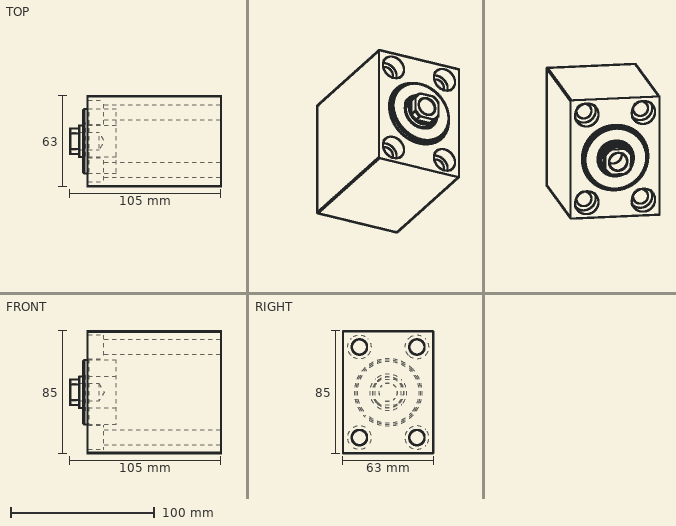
import cadquery as cq
import math


housing_length = 93.0
housing_width = 63.0
housing_height = 85.0
edge_chamfer = 0.5

screw_spacing_y = 40.0
screw_spacing_z = 63.0
screw_hole_diameter = 10.5
screw_head_diameter = 16.5
screw_head_depth = 11.0

gland_diameter = 45.0
gland_projection = 3.0
gland_seat_depth = 20.0
gland_chamfer = 1.0
bore_lead_in = 1.0

wiper_diameter = 25.5
wiper_depth = 1.5

rod_diameter = 22.0
rod_projection = 3.0
rod_chamfer = 0.4

square_length = 6.0
square_across_flats = 18.0
square_corner_diameter = 21.0
square_tip_chamfer = 0.3

thread_core_diameter = 12.5
thread_mouth_diameter = 13.0
thread_depth = 20.0
drill_point_angle = 118.0

gland_front = -gland_projection
rod_shoulder = gland_front - rod_projection
rod_tip = rod_shoulder - square_length


def cylinder(diameter, start, end):
    """Round bar along X between two stations."""
    return cq.Workplane("YZ").workplane(offset=start).circle(diameter / 2).extrude(end - start)


def turned(profile):
    """Solid of revolution about X from a list of (station, radius) points."""
    return cq.Workplane("XY").polyline(profile).close().revolve(360, (0, 0, 0), (1, 0, 0))


def mouth_chamfer(station, hole_diameter, mouth_diameter):
    """45 degree conical cutter that opens a hole at the given station."""
    hole_radius = hole_diameter / 2
    mouth_radius = mouth_diameter / 2
    floor = station + mouth_radius - hole_radius
    return turned([(station, 0), (station, mouth_radius), (floor, hole_radius), (floor, 0)])


def make_housing():
    block = (
        cq.Workplane("YZ")
        .rect(housing_width, housing_height)
        .extrude(housing_length)
        .edges("|X")
        .chamfer(edge_chamfer)
    )
    block = block.cut(cylinder(gland_diameter, 0, gland_seat_depth))
    block = block.cut(mouth_chamfer(0, gland_diameter, gland_diameter + 2 * bore_lead_in))
    for side_y in (-1, 1):
        for side_z in (-1, 1):
            place = (0, side_y * screw_spacing_y / 2, side_z * screw_spacing_z / 2)
            block = block.cut(cylinder(screw_hole_diameter, 0, housing_length).translate(place))
            block = block.cut(cylinder(screw_head_diameter, 0, screw_head_depth).translate(place))
    return block


def make_gland():
    gland = cylinder(gland_diameter, gland_front, gland_seat_depth).faces("<X").chamfer(gland_chamfer)
    gland = gland.cut(cylinder(rod_diameter, gland_front, gland_seat_depth))
    return gland.cut(cylinder(wiper_diameter, gland_front, gland_front + wiper_depth))


def make_wrench_square():
    square = (
        cq.Workplane("YZ")
        .workplane(offset=rod_tip)
        .rect(square_across_flats, square_across_flats)
        .extrude(square_length)
    )
    corner_turning = cylinder(square_corner_diameter, rod_tip, rod_shoulder)
    corner_turning = corner_turning.faces("<X").chamfer(square_tip_chamfer)
    return square.intersect(corner_turning)


def make_thread_hole():
    radius = thread_core_diameter / 2
    bottom = rod_tip + thread_depth
    point = bottom + radius / math.tan(math.radians(drill_point_angle / 2))
    drilled = turned([(rod_tip, 0), (rod_tip, radius), (bottom, radius), (point, 0)])
    return drilled.union(mouth_chamfer(rod_tip, thread_core_diameter, thread_mouth_diameter))


def make_rod():
    rod = cylinder(rod_diameter, rod_shoulder, gland_seat_depth).faces("<X").chamfer(rod_chamfer)
    return rod.union(make_wrench_square()).cut(make_thread_hole())


housing = make_housing()
gland = make_gland()
rod = make_rod()

result = cq.Compound.makeCompound([housing.val(), gland.val(), rod.val()])